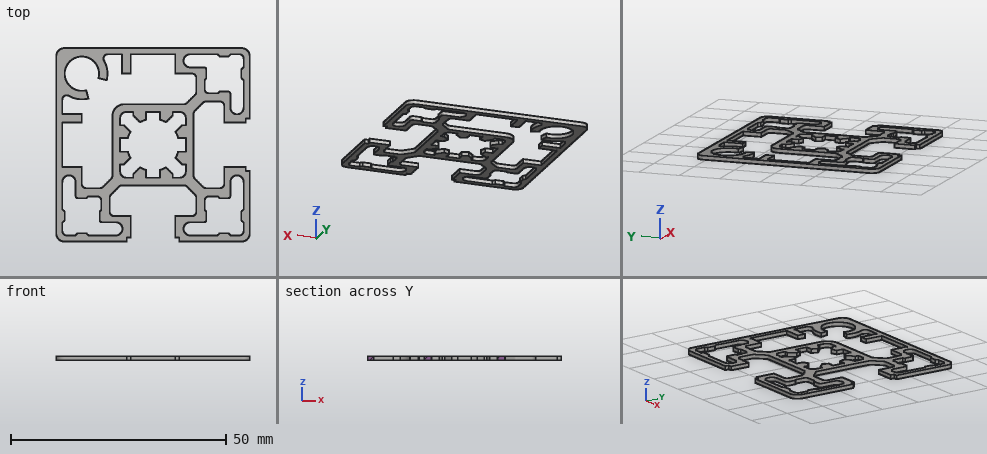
import cadquery as cq
import math


size = 45.0
half = size / 2
thickness = 1.0
outer_radius = 2.0
wall = 1.5
slot_radius = 1.0
min_line_length = 4.5e-07

mouth_half = 5.15
mouth_step = 0.95
lip_depth = 6.0
cavity_half = 10.05
slot_depth = 13.05
web_offset = 1.85

box_half = half - slot_depth
box_wall = 1.85
box_inner_half = box_half - box_wall
box_corner_radius = 2.8
box_inner_radius = 1.4
bore_radius = 6.05
tooth_near = 1.58
tooth_far = 4.6
tooth_tip = 3.0
tooth_tip_height = math.sqrt(bore_radius**2 - tooth_tip**2)
tooth_near_height = math.sqrt(bore_radius**2 - tooth_near**2)
tooth_far_height = tooth_tip_height + tooth_far - tooth_tip

leg_far = 4.5
leg_end = 15.4
leg_radius = (leg_far - wall) / 2
room_far = 10.5
bump_start = 4.45
bump_end = 7.5
pad_end = 7.42
bump_height = 0.55
pad_height = 0.4
pad_radius = 0.65
room_radius = 0.9
pocket_corner_radius = 1.0

clamp_centre = 6.0
clamp_hole_radius = 3.95
clamp_outer_radius = 6.0
clamp_end_angle = 15.0
rib_start = 15.3
rib_end = half - mouth_half


def rounded_prism(corners):
    """Extrude the closed outline of (x, y, radius) corners, each rounded by its radius."""
    rounded = []
    for i, (x, y, radius) in enumerate(corners):
        corner = cq.Vector(x, y)
        before = (cq.Vector(*corners[i - 1][:2]) - corner).normalized()
        after = (cq.Vector(*corners[(i + 1) % len(corners)][:2]) - corner).normalized()
        half_angle = before.getAngle(after) / 2
        trim = radius / math.tan(half_angle)
        bisector = (before + after).normalized() if radius else before
        nearest = radius / math.sin(half_angle) - radius
        rounded.append((corner + before * trim, corner + bisector * nearest, corner + after * trim, radius))

    outline = cq.Workplane("XY").moveTo(*rounded[0][2].toTuple()[:2])
    position = rounded[0][2]
    for start, middle, end, radius in rounded[1:] + rounded[:1]:
        if (start - position).Length > min_line_length:
            outline = outline.lineTo(start.x, start.y)
        if radius:
            outline = outline.threePointArc((middle.x, middle.y), (end.x, end.y))
        position = end
    return outline.close().extrude(thickness)


def block(x_start, x_end, y_start, y_end):
    """Plain block between the given X and Y limits."""
    return (
        cq.Workplane("XY")
        .rect(x_end - x_start, y_end - y_start)
        .extrude(thickness)
        .translate(((x_start + x_end) / 2, (y_start + y_end) / 2, 0))
    )


def rounded_square(half_width, radius):
    """Square centred on the Z axis with rounded corners."""
    square = cq.Workplane("XY").rect(2 * half_width, 2 * half_width).extrude(thickness)
    return square.edges("|Z").fillet(radius)


def slot_void(is_open):
    """T-slot cavity on the -Y side, either open to the outside or behind the wall."""
    lip_y = lip_depth - half
    mouth_y = -half if is_open else wall - half
    floor_end = box_half - web_offset
    right_side = [
        (mouth_half, mouth_y, 0),
        (mouth_half, lip_y, 0),
        (cavity_half, lip_y, slot_radius),
        (cavity_half, -cavity_half - web_offset, slot_radius),
        (floor_end, -box_half, slot_radius),
    ]
    left_side = [(-x, y, radius) for x, y, radius in reversed(right_side)]
    void = rounded_prism(right_side + left_side)
    if is_open:
        step_half = mouth_half + mouth_step
        void = void.union(block(-step_half, step_half, -half, mouth_step - half))
    return void


def pocket_void():
    """L-shaped pocket of the corner at -X, -Y, symmetric about the corner diagonal."""
    pad_far = room_far - pad_height
    lower_half = [
        (bump_start, wall, 0),
        (bump_start + bump_height, wall + bump_height, 0),
        (bump_end - bump_height, wall + bump_height, 0),
        (bump_end, wall, 0),
        (leg_end, wall, leg_radius),
        (leg_end, leg_far, leg_radius),
        (pad_far, leg_far, pad_radius),
        (pad_far, pad_end - pad_height, 0),
        (room_far, pad_end, 0),
    ]
    upper_half = [(y, x, radius) for x, y, radius in reversed(lower_half)]
    outer_corner = [(wall, wall, pocket_corner_radius)]
    inner_corner = [(room_far, room_far, room_radius)]
    pocket = rounded_prism(outer_corner + lower_half + inner_corner + upper_half)
    return pocket.translate((-half, -half, 0))


def box_void():
    """Inside of the centre box, leaving eight teeth that end on the screw bore."""
    void = rounded_square(box_inner_half, box_inner_radius)
    mid_angle = (math.atan2(tooth_near_height, tooth_near) + math.atan2(tooth_tip_height, tooth_tip)) / 2
    bore_mid = (bore_radius * math.cos(mid_angle), bore_radius * math.sin(mid_angle))
    tooth = (
        cq.Workplane("XY")
        .moveTo(tooth_near, box_inner_half)
        .lineTo(tooth_near, tooth_near_height)
        .threePointArc(bore_mid, (tooth_tip, tooth_tip_height))
        .lineTo(tooth_far, tooth_far_height)
        .lineTo(tooth_far, box_inner_half)
        .close()
        .extrude(thickness)
    )
    tooth_pair = tooth.union(tooth.mirror("YZ"))
    for quarter in range(4):
        void = void.cut(tooth_pair.rotate((0, 0, 0), (0, 0, 1), 90 * quarter))
    return void


def screw_clamp():
    """C-shaped screw clamp; its corner is the origin and it extends along +X and +Y."""
    fillet_y = wall + slot_radius
    centre_distance = clamp_outer_radius + slot_radius
    fillet_x = clamp_centre + math.sqrt(centre_distance**2 - (clamp_centre - fillet_y) ** 2)
    clamp_angle = math.atan2(fillet_y - clamp_centre, fillet_x - clamp_centre)
    touch_x = clamp_centre + clamp_outer_radius * math.cos(clamp_angle)
    touch_y = clamp_centre + clamp_outer_radius * math.sin(clamp_angle)
    fillet_angle = (math.pi + clamp_angle + 1.5 * math.pi) / 2
    fillet_mid_x = fillet_x + slot_radius * math.cos(fillet_angle)
    fillet_mid_y = fillet_y + slot_radius * math.sin(fillet_angle)
    far_point = clamp_centre + clamp_outer_radius * math.sqrt(0.5)
    body = (
        cq.Workplane("XY")
        .moveTo(wall, wall)
        .lineTo(fillet_x, wall)
        .threePointArc((fillet_mid_x, fillet_mid_y), (touch_x, touch_y))
        .threePointArc((far_point, far_point), (touch_y, touch_x))
        .threePointArc((fillet_mid_y, fillet_mid_x), (wall, fillet_x))
        .close()
        .extrude(thickness)
    )
    hole = cq.Workplane("XY").center(clamp_centre, clamp_centre).circle(clamp_hole_radius).extrude(thickness)
    reach = 2 * clamp_outer_radius
    side_reach = reach * math.tan(math.radians(clamp_end_angle))
    opening = (
        cq.Workplane("XY")
        .center(clamp_centre, clamp_centre)
        .polyline([(0, 0), (reach, side_reach), (reach, reach), (side_reach, reach)])
        .close()
        .extrude(thickness)
    )
    return body.cut(hole).cut(opening)


def closed_corner_void():
    """Open chamber around the clamp and the ribs in the corner at -X, +Y."""
    chamber = block(wall, half, wall, half)
    chamber = chamber.cut(block(rib_end, half, wall, lip_depth))
    chamber = chamber.cut(block(wall, lip_depth, rib_end, half))
    chamber = chamber.cut(rounded_square(box_half, box_corner_radius).translate((half, half, 0)))
    chamber = chamber.cut(block(rib_start, rib_end, wall, lip_depth))
    chamber = chamber.cut(block(wall, lip_depth, rib_start, rib_end))
    chamber = chamber.cut(screw_clamp())
    return chamber.mirror("XZ").translate((-half, half, 0))


profile = rounded_square(half, outer_radius)

for quarter, is_open in enumerate([True, True, False, False]):
    profile = profile.cut(slot_void(is_open).rotate((0, 0, 0), (0, 0, 1), 90 * quarter))

for quarter in range(3):
    profile = profile.cut(pocket_void().rotate((0, 0, 0), (0, 0, 1), 90 * quarter))

profile = profile.cut(box_void())
result = profile.cut(closed_corner_void())